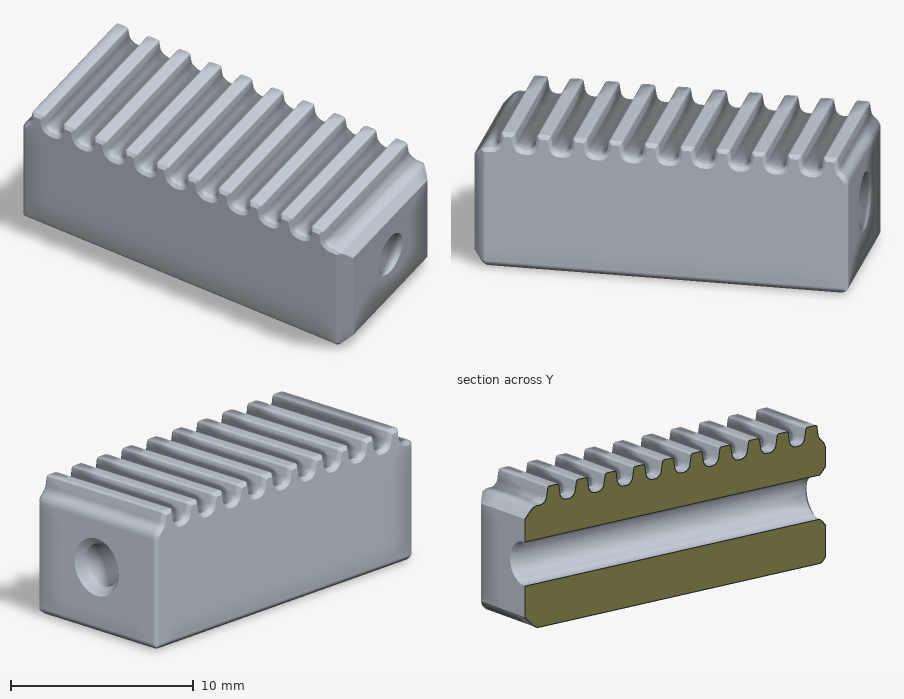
import cadquery as cq
import math

LENGTH = 21.0
WIDTH = 9.0
HEIGHT = 7.95

TOOTH_COUNT = 10
PITCH = LENGTH / (TOOTH_COUNT + 0.5)
GROOVE_DEPTH = 0.97
GROOVE_FLOOR = 0.17
GROOVE_RADIUS = 0.45
FLANK_ANGLE = math.radians(9.3)
SHOULDER_ANGLE = math.radians(45)

SIDE_CHAMFER = 0.2
BOTTOM_CHAMFER = 0.3
NOSE_TOP_CHAMFER = 0.63
NOSE_SIDE_CHAMFER = 0.67
NOSE_BOTTOM_CHAMFER = 0.78
TOOTH_ROUND = 0.15
NOSE_ROUND = 0.15
BOTTOM_ROUND = 0.25
END_ROUND = 0.63

HOLE_DIAMETER = 2.5
COUNTERSINK_DIAMETER = 3.32
COUNTERSINK_ANGLE = 90
HOLE_HEIGHT = 3.8

ROOT_Z = HEIGHT - GROOVE_DEPTH
HALF_WIDTH = WIDTH / 2
ARC_END = math.pi / 2 - FLANK_ANGLE
PICK_GAP = 0.02


def root_arc(groove_x, side, angle):
    """Point on the root arc on one side (+1 or -1) of a groove; angle runs up from straight down."""
    offset = GROOVE_FLOOR / 2 + GROOVE_RADIUS * math.sin(angle)
    return (groove_x + side * offset, ROOT_Z + GROOVE_RADIUS * (1 - math.cos(angle)))


def tooth_tip(groove_x, side):
    """Sharp tooth tip on one side (+1 or -1) of a groove."""
    foot_x, foot_z = root_arc(groove_x, side, ARC_END)
    return (foot_x + side * (HEIGHT - foot_z) * math.tan(FLANK_ANGLE), HEIGHT)


def edges_within(x_range, y_range, z_range):
    """Selector for edges whose centre lies in a box, with a small margin around it."""
    ranges = (x_range, y_range, z_range)
    low = tuple(min(r) - PICK_GAP for r in ranges)
    high = tuple(max(r) + PICK_GAP for r in ranges)
    return cq.selectors.BoxSelector(low, high)


def cross_edge(x, z):
    """Selector for the edge that runs across the width at (x, z)."""
    return edges_within((x, x), (0, 0), (z, z))


def rack_block():
    """Side outline with sharp teeth, extruded across the width, with its end corners rounded."""
    shoulder_x, shoulder_z = root_arc(0, 1, SHOULDER_ANGLE)
    shoulder_foot_z = shoulder_z - shoulder_x * math.tan(SHOULDER_ANGLE)
    outline = (
        cq.Workplane("XZ", origin=(0, HALF_WIDTH, 0))
        .moveTo(0, 0)
        .lineTo(0, shoulder_foot_z)
    )
    for tooth in range(TOOTH_COUNT):
        left = tooth * PITCH
        right = left + PITCH
        arc_start = 0 if tooth else SHOULDER_ANGLE
        outline = (
            outline.lineTo(*root_arc(left, 1, arc_start))
            .threePointArc(root_arc(left, 1, (arc_start + ARC_END) / 2), root_arc(left, 1, ARC_END))
            .lineTo(*tooth_tip(left, 1))
            .lineTo(*tooth_tip(right, -1))
            .lineTo(*root_arc(right, -1, ARC_END))
            .threePointArc(root_arc(right, -1, ARC_END / 2), root_arc(right, -1, 0))
        )
    block = (
        outline.lineTo(LENGTH - NOSE_TOP_CHAMFER, ROOT_Z)
        .lineTo(LENGTH, ROOT_Z - NOSE_TOP_CHAMFER)
        .lineTo(LENGTH, NOSE_BOTTOM_CHAMFER)
        .lineTo(LENGTH - NOSE_BOTTOM_CHAMFER, 0)
        .close()
        .extrude(WIDTH)
    )
    shoulder_foot = cross_edge(0, shoulder_foot_z)
    nose_top = cross_edge(LENGTH - NOSE_TOP_CHAMFER, ROOT_Z)
    nose_bottom = cross_edge(LENGTH - NOSE_BOTTOM_CHAMFER, 0)
    return block.edges(shoulder_foot + nose_top + nose_bottom).fillet(END_ROUND)


def soften_teeth(block):
    """Chamfer the outline on both sides, then round the tooth tips and the chamfer's outer edge."""
    block = block.faces("<Y or >Y").edges().chamfer(SIDE_CHAMFER)
    tips = edges_within((0, LENGTH), (-HALF_WIDTH, HALF_WIDTH), (HEIGHT - SIDE_CHAMFER / 2, HEIGHT))
    rim_y = HALF_WIDTH - SIDE_CHAMFER
    front_rim = edges_within((0, LENGTH), (-rim_y, -rim_y), (0, HEIGHT))
    back_rim = edges_within((0, LENGTH), (rim_y, rim_y), (0, HEIGHT))
    return block.edges(tips + front_rim + back_rim).fillet(TOOTH_ROUND)


def plain_box():
    return cq.Workplane().box(LENGTH, WIDTH, HEIGHT, centered=(False, True, False))


def nose_limit():
    """Block with its vertical nose edges chamfered and blended into the sides."""
    limit = plain_box().edges("|Z and >X").chamfer(NOSE_SIDE_CHAMFER)
    return limit.faces("<Y or >Y").edges("|Z and >X").fillet(NOSE_ROUND)


def bottom_limit():
    """Block with its bottom edges chamfered, except at the nose, and the chamfers rounded off."""
    limit = plain_box().faces("<Z").edges("not >X").chamfer(BOTTOM_CHAMFER)
    chamfer_rims = edges_within((0, LENGTH), (-HALF_WIDTH, HALF_WIDTH), (0, BOTTOM_CHAMFER))
    return limit.edges(chamfer_rims).edges("not >X").fillet(BOTTOM_ROUND)


def drill(block):
    """Through hole along X with its countersink in the -X face."""
    entry = cq.Workplane(cq.Plane((0, 0, HOLE_HEIGHT), (0, 1, 0), (-1, 0, 0)))
    return block.copyWorkplane(entry).cskHole(HOLE_DIAMETER, COUNTERSINK_DIAMETER, COUNTERSINK_ANGLE)


body = soften_teeth(rack_block()).intersect(bottom_limit()).intersect(nose_limit())
result = drill(body)